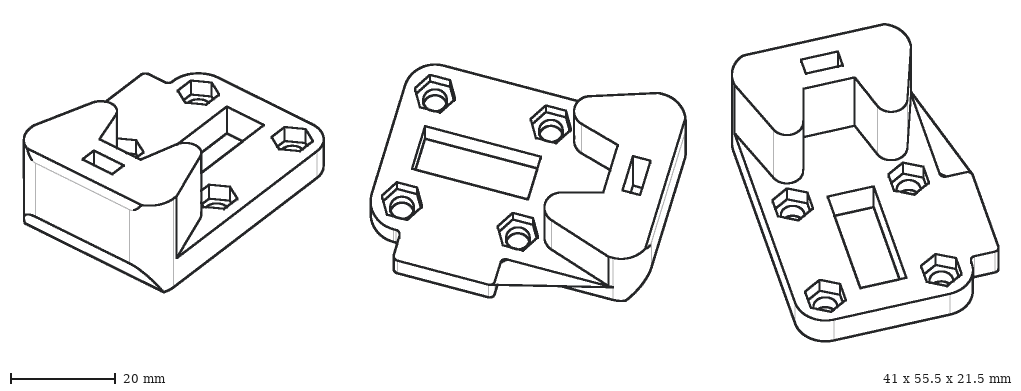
import cadquery as cq
import math

body_width = 35.0
body_length = 55.5
plate_height = 6.5
tower_height = 15.0
total_height = plate_height + tower_height
corner_radius = 6.0
body_left = -body_width / 2

wing_reach = 6.0
wing_front = 27.95
wing_length = 20.05
wing_back = wing_front + wing_length
wing_radius = 1.0
wing_left = body_left - wing_reach
web_thickness = 0.085

hole_pitch = 23.0
hole_diameter = 4.55
nut_across_flats = 6.95
nut_depth = 3.4
nut_turn = 30
holes_center_y = body_length - corner_radius - hole_pitch / 2

window_width = 9.1
window_length = hole_pitch

prong_offset = 10.3
prong_radius = 3.1
prong_center_y = 18.35
flank_start_y = 6.9
notch_half_width = 5.05
notch_y = 11.45

slot_width = 7.3
slot_length = 3.5
slot_center_y = 6.25
slot_depth = tower_height

top_bevel_height = 2.0
top_bevel_depth = 0.55
bottom_bevel_height = plate_height
bottom_bevel_depth = 3.6


def rounded_body(height):
    """Upright block with the full body footprint and rounded corners."""
    block = cq.Workplane("XY").box(body_width, body_length, height, centered=(True, False, False))
    return block.edges("|Z").fillet(corner_radius)


def wing():
    """Tab on the left side, with rounded outer corners and flared roots."""
    left = wing_left
    root = body_left
    r = wing_radius
    overlap = root + r
    bend = r * (1 - math.sqrt(0.5))
    return (
        cq.Workplane("XY")
        .moveTo(overlap, wing_front - r)
        .lineTo(root, wing_front - r)
        .threePointArc((root - bend, wing_front - bend), (root - r, wing_front))
        .lineTo(left + r, wing_front)
        .threePointArc((left + bend, wing_front + bend), (left, wing_front + r))
        .lineTo(left, wing_back - r)
        .threePointArc((left + bend, wing_back - bend), (left + r, wing_back))
        .lineTo(root - r, wing_back)
        .threePointArc((root - bend, wing_back + bend), (root, wing_back + r))
        .lineTo(overlap, wing_back + r)
        .close()
        .extrude(plate_height)
    )


def web():
    """Thin triangular skin, flush with the plate top, from the wing to the front corner."""
    overlap = wing_radius
    return (
        cq.Workplane("XY")
        .workplane(offset=plate_height - web_thickness)
        .moveTo(wing_left, wing_front + wing_radius)
        .lineTo(body_left, corner_radius)
        .lineTo(body_left + overlap, corner_radius)
        .lineTo(body_left + overlap, wing_front - wing_radius)
        .lineTo(body_left, wing_front - wing_radius)
        .lineTo(body_left - wing_radius, wing_front)
        .lineTo(body_left - wing_radius, wing_front + wing_radius)
        .close()
        .extrude(web_thickness)
    )


def prong_tangent(x, y, side):
    """Point where a line from (x, y) touches the right prong tip; side is +1 outer, -1 inner."""
    dx = x - prong_offset
    dy = y - prong_center_y
    spread = math.acos(prong_radius / math.hypot(dx, dy))
    angle = math.atan2(dy, dx) + side * spread
    return (
        prong_offset + prong_radius * math.cos(angle),
        prong_center_y + prong_radius * math.sin(angle),
    )


def tower():
    """Full-height front block whose rear side ends in two rounded prongs."""
    right = body_width / 2
    outer = prong_tangent(right, flank_start_y, 1)
    inner = prong_tangent(notch_half_width, notch_y, -1)
    tip_y = prong_center_y + prong_radius
    outline = (
        cq.Workplane("XY")
        .moveTo(-right, 0)
        .lineTo(right, 0)
        .lineTo(right, flank_start_y)
        .lineTo(*outer)
        .threePointArc((prong_offset, tip_y), inner)
        .lineTo(notch_half_width, notch_y)
        .lineTo(-notch_half_width, notch_y)
        .lineTo(-inner[0], inner[1])
        .threePointArc((-prong_offset, tip_y), (-outer[0], outer[1]))
        .lineTo(-right, flank_start_y)
        .close()
        .extrude(total_height)
    )
    return outline.intersect(rounded_body(total_height))


def front_bevel(edge_z, face_z, depth):
    """Wedge removing the front edge at edge_z, sloping out to the front face at face_z."""
    return (
        cq.Workplane("YZ")
        .polyline([(0, edge_z), (depth, edge_z), (0, face_z)])
        .close()
        .extrude(body_width / 2, both=True)
    )


def screw_holes():
    """Four through holes, each with a hexagonal nut pocket in the plate top."""
    centers = cq.Workplane("XY").center(0, holes_center_y).rarray(hole_pitch, hole_pitch, 2, 2)
    holes = centers.circle(hole_diameter / 2).extrude(plate_height)
    nut_across_corners = nut_across_flats / math.cos(math.radians(nut_turn))
    nut = (
        cq.Workplane("XY")
        .polygon(6, nut_across_corners)
        .extrude(nut_depth)
        .rotate((0, 0, 0), (0, 0, 1), nut_turn)
        .translate((0, 0, plate_height - nut_depth))
    )
    nuts = centers.eachpoint(lambda place: nut.val().moved(place))
    return holes.union(nuts)


def window():
    """Rectangular opening through the plate."""
    block = cq.Workplane("XY").box(window_width, window_length, plate_height, centered=(True, True, False))
    return block.translate((0, holes_center_y, 0))


def slot():
    """Blind rectangular slot sunk from the tower top."""
    block = cq.Workplane("XY").box(slot_width, slot_length, slot_depth, centered=(True, True, False))
    return block.translate((0, slot_center_y, total_height - slot_depth))


result = (
    rounded_body(plate_height)
    .union(wing())
    .union(web())
    .union(tower())
    .cut(screw_holes())
    .cut(window())
    .cut(slot())
    .cut(front_bevel(total_height, total_height - top_bevel_height, top_bevel_depth))
    .cut(front_bevel(0, bottom_bevel_height, bottom_bevel_depth))
)